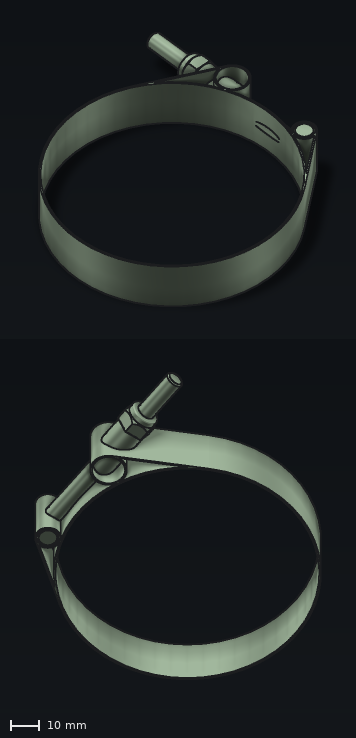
import cadquery as cq
import math

band_width = 19.05
band_inner_diameter = 91.19
strap_thickness = 0.635
band_outer_radius = band_inner_diameter / 2 + strap_thickness
join_overlap = 0.02

sleeve_loop_inner_diameter = 11.43
pin_loop_inner_diameter = 7.62
sleeve_loop_outer_radius = sleeve_loop_inner_diameter / 2 + strap_thickness
pin_loop_outer_radius = pin_loop_inner_diameter / 2 + strap_thickness

bolt_diameter = 6.35
bolt_axis_y = 48.27
bolt_end_x = -60.81
bolt_chamfer = 0.6
pin_diameter = 6.35

sleeve_diameter = 10.79
nut_across_flats = 11.07
nut_seat_x = -35.3
nut_hex_length = 5.3
nut_corner_chamfer_angle = 46
nut_collar_diameter = 10.54
nut_collar_length = 2.4
nut_collar_fillet = 0.7
nut_corner_radius = nut_across_flats / 2 / math.cos(math.pi / 6)


def loop_center_x(loop_radius):
    """Distance in X from the band axis to a loop that rests on the band."""
    center_distance = band_outer_radius + loop_radius - join_overlap
    return math.sqrt(center_distance**2 - bolt_axis_y**2)


sleeve_loop_x = -loop_center_x(sleeve_loop_outer_radius)
pin_loop_x = loop_center_x(pin_loop_outer_radius)


def upright_cylinder(x, y, radius):
    """Cylinder along Z over the full band width."""
    return cq.Workplane("XY").center(x, y).circle(radius).extrude(band_width / 2, both=True)


def upright_ring(x, y, outer_radius):
    """Ring of strap along Z over the full band width."""
    hollow = upright_cylinder(x, y, outer_radius - strap_thickness)
    return upright_cylinder(x, y, outer_radius).cut(hollow)


def axial(start_x):
    """Workplane centred on the bolt axis, facing +X."""
    return cq.Workplane("YZ", origin=(start_x, bolt_axis_y, 0))


def make_tangent_strap(loop_x, loop_radius):
    """Straight strap, tangent to the outside of both the band and a loop."""
    side = math.copysign(1, loop_x)
    center_distance = math.hypot(loop_x, bolt_axis_y)
    center_angle = math.atan2(bolt_axis_y, loop_x)
    tangent_offset = math.acos((band_outer_radius - loop_radius) / center_distance)
    normal_angle = center_angle - side * tangent_offset
    normal_x = math.cos(normal_angle)
    normal_y = math.sin(normal_angle)

    def along_normal(center_x, center_y, radius):
        return (center_x + radius * normal_x, center_y + radius * normal_y)

    outline = [
        along_normal(0, 0, band_outer_radius),
        along_normal(loop_x, bolt_axis_y, loop_radius),
        along_normal(loop_x, bolt_axis_y, loop_radius - strap_thickness),
        along_normal(0, 0, band_outer_radius - strap_thickness),
    ]
    return cq.Workplane("XY").polyline(outline).close().extrude(band_width / 2, both=True)


def make_band():
    band = upright_ring(0, 0, band_outer_radius)
    loops = (
        (sleeve_loop_x, sleeve_loop_outer_radius),
        (pin_loop_x, pin_loop_outer_radius),
    )
    for loop_x, loop_radius in loops:
        band = band.union(upright_ring(loop_x, bolt_axis_y, loop_radius))
        band = band.union(make_tangent_strap(loop_x, loop_radius))
    return band


def make_bolt():
    shank = axial(bolt_end_x).circle(bolt_diameter / 2).extrude(pin_loop_x - bolt_end_x)
    shank = shank.faces("<X").chamfer(bolt_chamfer)
    pin = upright_cylinder(pin_loop_x, bolt_axis_y, pin_diameter / 2)
    return shank.union(pin)


def make_sleeve():
    """Sleeve from the nut into the large loop, rounded to the loop at its far end."""
    sleeve_radius = sleeve_diameter / 2
    sleeve = axial(nut_seat_x).circle(sleeve_radius).extrude(sleeve_loop_x - nut_seat_x)
    rounded_end = axial(sleeve_loop_x).circle(sleeve_radius).extrude(sleeve_loop_outer_radius)
    loop_outside = upright_cylinder(sleeve_loop_x, bolt_axis_y, sleeve_loop_outer_radius)
    return sleeve.union(rounded_end.intersect(loop_outside))


def make_nut():
    """Hex nut with corners pointing along Y, chamfered towards a round collar."""
    hex_start_x = nut_seat_x - nut_hex_length
    hex_body = axial(hex_start_x).polygon(6, 2 * nut_corner_radius).extrude(nut_hex_length)

    collar_radius = nut_collar_diameter / 2
    chamfer_slope = math.tan(math.radians(nut_corner_chamfer_angle))
    chamfer_length = (nut_corner_radius - collar_radius) * chamfer_slope
    envelope_profile = [
        (hex_start_x, 0),
        (hex_start_x, collar_radius),
        (hex_start_x + chamfer_length, nut_corner_radius),
        (nut_seat_x, nut_corner_radius),
        (nut_seat_x, 0),
    ]
    envelope = cq.Workplane("XY").polyline(envelope_profile).close()
    envelope = envelope.revolve(360, (0, 0, 0), (1, 0, 0)).translate((0, bolt_axis_y, 0))

    collar = axial(hex_start_x).circle(collar_radius).extrude(-nut_collar_length)
    collar = collar.faces("<X").edges().fillet(nut_collar_fillet)
    return hex_body.intersect(envelope).union(collar)


result = make_band().union(make_bolt()).union(make_sleeve()).union(make_nut())